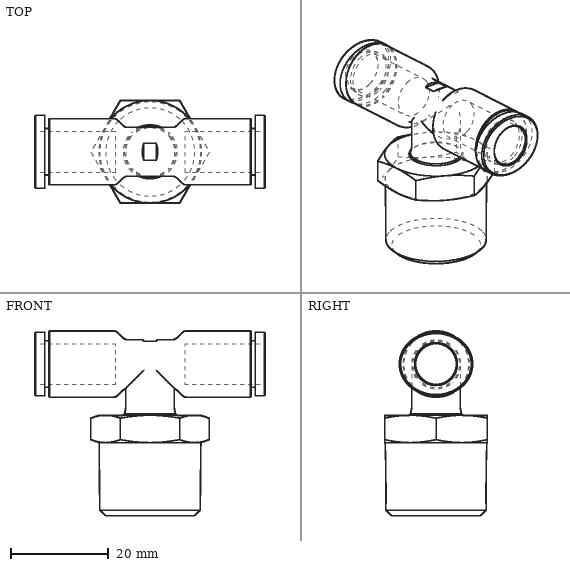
import cadquery as cq
import math

overall_length = 47.2
overall_height = 37.8

body_radius = 6.8
body_end_x = 20.65
body_end_chamfer = 0.2
waist_radius = 5.0
waist_end_x = 5.1
shoulder_end_x = 7.0
shoulder_fillet = 1.0
neck_radius = 4.75

collar_inner_x = 21.48
collar_width = 15.0
collar_height = 13.05
collar_chamfer = 0.3

socket_radius = 4.15
socket_chamfer = 0.25
socket_depth = 16.5

recess_floor_length = 2.55
recess_depth = 0.305

spigot_length = 14.95
spigot_top_radius = 10.45
spigot_lower_radius = 10.3
spigot_tip_radius = 9.05
spigot_tip_height = 1.15
hex_across_flats = 21.0
hex_height = 5.55
hex_chamfer_angle = 20.0
stem_foot_height = 1.4
stem_foot_radius = 5.25
stem_lip_height = 0.3
stem_lip_radius = 5.5

end_x = overall_length / 2
axis_z = overall_height - body_radius
hex_top_z = spigot_length + hex_height
recess_floor_z = axis_z + waist_radius - recess_depth


def revolve_about_z(points):
    """Revolve an (r, z) outline, closed along the Z axis."""
    return cq.Workplane("XZ").polyline(points).close().revolve(360, (0, 0, 0), (0, 1, 0))


def make_run():
    """Waist, conical shoulders and bodies, joined by a neck reaching both collars."""
    waist_and_bodies = (
        cq.Workplane("XY", origin=(0, 0, axis_z))
        .polyline([
            (-body_end_x, 0),
            (-body_end_x, body_radius),
            (-shoulder_end_x, body_radius),
            (-waist_end_x, waist_radius),
            (waist_end_x, waist_radius),
            (shoulder_end_x, body_radius),
            (body_end_x, body_radius),
            (body_end_x, 0),
        ])
        .close()
        .revolve(360, (0, 0, 0), (1, 0, 0))
    )
    rounded = waist_and_bodies.faces("<X or >X").edges().chamfer(body_end_chamfer)
    edge_margin = 0.05
    for x in (-shoulder_end_x, -waist_end_x, waist_end_x, shoulder_end_x):
        corner = cq.selectors.BoxSelector(
            (x - edge_margin, -body_radius, axis_z - body_radius),
            (x + edge_margin, body_radius, axis_z + body_radius),
        )
        rounded = rounded.edges(corner).edges("%CIRCLE").fillet(shoulder_fillet)
    neck = (
        cq.Workplane("YZ", origin=(-collar_inner_x, 0, axis_z))
        .circle(neck_radius)
        .extrude(2 * collar_inner_x)
    )
    return rounded.union(neck)


def make_collar():
    """Oval collar at the -X end, chamfered on its outer face."""
    return (
        cq.Workplane("YZ", origin=(-end_x, 0, axis_z))
        .ellipse(collar_width / 2, collar_height / 2)
        .extrude(end_x - collar_inner_x)
        .faces("<X")
        .edges()
        .chamfer(collar_chamfer)
    )


def make_socket():
    """Blind tube socket with a chamfered mouth at the -X end, as a cutting body."""
    mouth_radius = socket_radius + socket_chamfer
    return (
        cq.Workplane("XY", origin=(0, 0, axis_z))
        .polyline([
            (-end_x, 0),
            (-end_x, mouth_radius),
            (-end_x + socket_chamfer, socket_radius),
            (-end_x + socket_depth, socket_radius),
            (-end_x + socket_depth, 0),
        ])
        .close()
        .revolve(360, (0, 0, 0), (1, 0, 0))
    )


def make_recess():
    """Shallow flat across the top of the waist with 45-degree ends, as a cutting body."""
    floor = recess_floor_length / 2
    cutter_height = 2 * recess_depth
    top = floor + cutter_height
    top_z = recess_floor_z + cutter_height
    return (
        cq.Workplane("XZ")
        .polyline([(-floor, recess_floor_z), (floor, recess_floor_z), (top, top_z), (-top, top_z)])
        .close()
        .extrude(waist_radius, both=True)
    )


def make_stem():
    """Vertical stem mitred into the run, flaring slightly at its foot."""
    lip_top_z = hex_top_z + stem_lip_height
    foot_top_z = hex_top_z + stem_foot_height
    return revolve_about_z([
        (0, hex_top_z),
        (stem_lip_radius, hex_top_z),
        (stem_foot_radius, lip_top_z),
        (waist_radius, foot_top_z),
        (waist_radius, axis_z),
        (0, axis_z),
    ])


def make_hexagon():
    """Hexagon with flats facing +Y and -Y, its corners turned off top and bottom."""
    flat_radius = hex_across_flats / 2
    corner_radius = flat_radius / math.cos(math.radians(30))
    corner_drop = (corner_radius - flat_radius) * math.tan(math.radians(hex_chamfer_angle))
    prism = (
        cq.Workplane("XY", origin=(0, 0, spigot_length))
        .polygon(6, 2 * corner_radius)
        .extrude(hex_height)
    )
    turned = revolve_about_z([
        (0, spigot_length),
        (flat_radius, spigot_length),
        (corner_radius, spigot_length + corner_drop),
        (corner_radius, hex_top_z - corner_drop),
        (flat_radius, hex_top_z),
        (0, hex_top_z),
    ])
    return prism.intersect(turned)


def make_spigot():
    """Tapered spigot with a bevelled tip."""
    return revolve_about_z([
        (0, 0),
        (spigot_tip_radius, 0),
        (spigot_lower_radius, spigot_tip_height),
        (spigot_top_radius, spigot_length),
        (0, spigot_length),
    ])


collar = make_collar()
socket = make_socket()

result = (
    make_run()
    .union(make_stem())
    .union(make_hexagon())
    .union(make_spigot())
    .union(collar)
    .union(collar.mirror("YZ"))
    .cut(socket)
    .cut(socket.mirror("YZ"))
    .cut(make_recess())
)